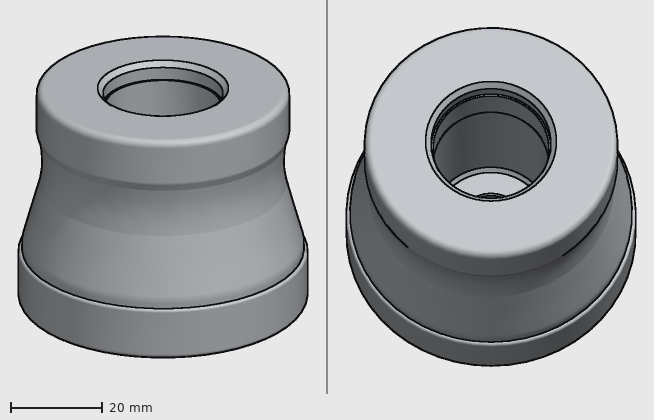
import cadquery as cq
import math

height = 50.8
base_radius = 31.75
base_top = 11.95
base_bottom_fillet = 1.15
base_top_fillet = 0.65

skirt_radius = 30.9
skirt_top = 13.3
skirt_round_radius = 5.1
slope_angle = math.radians(15.5)

waist_edge_radius = 27.1
waist_bottom = 27.75
waist_top = 38.75
waist_min_radius = 26.55

head_radius = 27.75
head_bottom = 40.8
head_edge_round = 1.6
flare_angle = math.radians(17)
head_fillet = 1.5

mouth_radius = 13.15
mouth_chamfer = 1.2
mouth_depth = 4.1
bore_radius = 12.7
bore_bottom = 38.0
relief_height = 1.15

insert_outer_radius = 16.5
insert_top = bore_bottom - relief_height
insert_inner_radius = mouth_radius
insert_floor = 6.35
floor_chamfer = 0.9
hole_radius = 6.85
hole_chamfer = 0.4


def make_housing():
    """Revolve the waisted outer profile and its stepped bore."""
    round_end_radius = skirt_radius - skirt_round_radius * (1 - math.cos(slope_angle))
    round_end_height = skirt_top + skirt_round_radius * math.sin(slope_angle)
    round_mid_radius = skirt_radius - skirt_round_radius * (1 - math.cos(slope_angle / 2))
    round_mid_height = skirt_top + skirt_round_radius * math.sin(slope_angle / 2)
    waist_middle = (waist_bottom + waist_top) / 2
    fillet_inset = head_fillet * (1 - math.sqrt(0.5))
    base_fillet_inset = base_bottom_fillet * (1 - math.sqrt(0.5))
    top_fillet_inset = base_top_fillet * (1 - math.sqrt(0.5))
    edge_end_radius = head_radius - head_edge_round * (1 - math.cos(flare_angle))
    edge_end_height = head_bottom - head_edge_round * math.sin(flare_angle)
    edge_mid_radius = head_radius - head_edge_round * (1 - math.cos(flare_angle / 2))
    edge_mid_height = head_bottom - head_edge_round * math.sin(flare_angle / 2)
    profile = (
        cq.Workplane("XZ")
        .moveTo(insert_outer_radius, 0)
        .lineTo(base_radius - base_bottom_fillet, 0)
        .threePointArc(
            (base_radius - base_fillet_inset, base_fillet_inset),
            (base_radius, base_bottom_fillet),
        )
        .lineTo(base_radius, base_top - base_top_fillet)
        .threePointArc(
            (base_radius - top_fillet_inset, base_top - top_fillet_inset),
            (base_radius - base_top_fillet, base_top),
        )
        .lineTo(skirt_radius, base_top)
        .lineTo(skirt_radius, skirt_top)
        .threePointArc((round_mid_radius, round_mid_height), (round_end_radius, round_end_height))
        .lineTo(waist_edge_radius, waist_bottom)
        .threePointArc((waist_min_radius, waist_middle), (waist_edge_radius, waist_top))
        .lineTo(edge_end_radius, edge_end_height)
        .threePointArc((edge_mid_radius, edge_mid_height), (head_radius, head_bottom))
        .lineTo(head_radius, height - head_fillet)
        .threePointArc(
            (head_radius - fillet_inset, height - fillet_inset),
            (head_radius - head_fillet, height),
        )
        .lineTo(mouth_radius + mouth_chamfer, height)
        .lineTo(mouth_radius, height - mouth_chamfer)
        .lineTo(mouth_radius, height - mouth_depth)
        .lineTo(bore_radius, height - mouth_depth)
        .lineTo(bore_radius, bore_bottom)
        .lineTo(insert_inner_radius, insert_top)
        .lineTo(insert_outer_radius, insert_top)
        .close()
    )
    return profile.revolve(360, (0, 0, 0), (0, 1, 0))


def make_insert():
    """Revolve the cup with a chamfered floor corner and a central through hole."""
    profile = (
        cq.Workplane("XZ")
        .moveTo(hole_radius, 0)
        .lineTo(insert_outer_radius, 0)
        .lineTo(insert_outer_radius, insert_top)
        .lineTo(insert_inner_radius, insert_top)
        .lineTo(insert_inner_radius, insert_floor + floor_chamfer)
        .lineTo(insert_inner_radius - floor_chamfer, insert_floor)
        .lineTo(hole_radius + hole_chamfer, insert_floor)
        .lineTo(hole_radius, insert_floor - hole_chamfer)
        .close()
    )
    return profile.revolve(360, (0, 0, 0), (0, 1, 0))


housing = make_housing()
insert = make_insert()
result = cq.Compound.makeCompound([housing.val(), insert.val()])